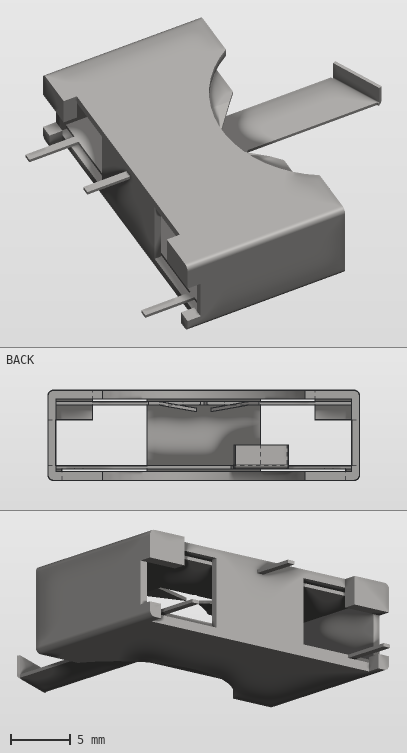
import cadquery as cq
import math

WIDTH = 26.28
HEIGHT = 7.63
DEPTH = 15.0
EDGE_RADIUS = 0.5
SIDE_WALL = 0.68
PLATE_WALL = 0.77
FRONT_WALL = 0.6
FOOT_DEPTH = 1.25
UPPER_FOOT_WIDTH = 3.78
UPPER_FOOT_HEIGHT = 2.5
LOWER_FOOT_WIDTH = 1.18
FRONT_PANEL_WIDTH = 9.58
CELL_RADIUS = 9.95
BITE_FRONT_Y = 10.2

SHEET = 0.3
SHEET_GAP = 0.2
PIN_WIDTH = 0.7
PIN_LENGTH = 2.85
CONTACT_REAR_Y = 13.63

OUTER_PIN_X = 10.52
TONGUE_LEFT_X = -7.12
TONGUE_RIGHT_X = -2.65
TONGUE_RIGHT_END_Y = 26.72
TONGUE_CHAMFER = 0.38
LIP_ANGLE = 24.8
LIP_HEIGHT = 2.05
BEND_RADIUS = 0.1

TAB_WIDTH = 3.45
NOTCH_HALF_WIDTH = 4.65
NOTCH_DEPTH = 4.02
WING_BEND_X = 3.72
WING_ANGLE = 10.0
WING_FRONT_Y = 10.15
WING_RELIEF = 0.3

INNER_WIDTH = WIDTH - 2 * SIDE_WALL
SHEET_FRONT_Y = FOOT_DEPTH + FRONT_WALL
SHEET_DEPTH = CONTACT_REAR_Y - SHEET_FRONT_Y
LOWER_Z = PLATE_WALL + SHEET_GAP
UPPER_Z = HEIGHT - PLATE_WALL - SHEET_GAP - SHEET
LOWER_FOOT_HEIGHT = LOWER_Z + SHEET
LIP_SLOPE = math.tan(math.radians(LIP_ANGLE))
TONGUE_LEFT_END_Y = TONGUE_RIGHT_END_Y - (TONGUE_RIGHT_X - TONGUE_LEFT_X) * LIP_SLOPE


def block(width, depth, height, x, y, z):
    """Box centred on x, reaching back from y and up from z."""
    return cq.Workplane("XY").box(width, depth, height, centered=(True, False, False)).translate((x, y, z))


def pin(x, rear_y, z):
    """Flat solder pin running forward from rear_y."""
    return block(PIN_WIDTH, rear_y + PIN_LENGTH, SHEET, x, -PIN_LENGTH, z)


def make_housing():
    outer = block(WIDTH, DEPTH, HEIGHT, 0, 0, 0).edges("|Y").fillet(EDGE_RADIUS)

    upper_gap = WIDTH - 2 * UPPER_FOOT_WIDTH
    lower_gap = WIDTH - 2 * LOWER_FOOT_WIDTH
    middle_height = HEIGHT - UPPER_FOOT_HEIGHT - LOWER_FOOT_HEIGHT
    body = outer.cut(block(upper_gap, FOOT_DEPTH, HEIGHT, 0, 0, 0))
    body = body.cut(block(lower_gap, FOOT_DEPTH, LOWER_FOOT_HEIGHT, 0, 0, 0))
    body = body.cut(block(WIDTH, FOOT_DEPTH, middle_height, 0, 0, LOWER_FOOT_HEIGHT))

    inner_height = HEIGHT - 2 * PLATE_WALL
    cavity = block(INNER_WIDTH, DEPTH, inner_height, 0, FOOT_DEPTH, PLATE_WALL)
    panel = block(FRONT_PANEL_WIDTH, FRONT_WALL, inner_height, 0, FOOT_DEPTH, PLATE_WALL)
    body = body.cut(cavity.cut(panel))

    body = body.cut(block(TAB_WIDTH, FRONT_WALL, SHEET, 0, FOOT_DEPTH, UPPER_Z))

    bite_y = BITE_FRONT_Y + CELL_RADIUS
    return body.cut(cq.Workplane("XY").center(0, bite_y).circle(CELL_RADIUS).extrude(HEIGHT))


def make_lip():
    """Tongue end bent upwards, with its length running obliquely across the tongue."""
    angle = math.radians(LIP_ANGLE)
    length = (TONGUE_RIGHT_X - TONGUE_LEFT_X) / math.cos(angle)
    outer_radius = BEND_RADIUS + SHEET
    bend_45 = math.sqrt(0.5)

    rear = cq.Vector(-math.sin(angle), math.cos(angle), 0)
    along = cq.Vector(math.cos(angle), math.sin(angle), 0)
    start = cq.Vector(TONGUE_LEFT_X, TONGUE_LEFT_END_Y, LOWER_Z)
    section_plane = cq.Plane(origin=start, xDir=rear, normal=along)
    section = (
        cq.Workplane(section_plane)
        .moveTo(-outer_radius, 0)
        .threePointArc((-outer_radius * (1 - bend_45), outer_radius * (1 - bend_45)), (0, outer_radius))
        .lineTo(0, LIP_HEIGHT)
        .lineTo(-SHEET, LIP_HEIGHT)
        .lineTo(-SHEET, outer_radius)
        .threePointArc((-outer_radius + BEND_RADIUS * bend_45, outer_radius - BEND_RADIUS * bend_45),
                       (-outer_radius, SHEET))
        .close()
    )
    return section.extrude(length)


def make_lower_contact():
    contact = block(INNER_WIDTH, SHEET_DEPTH, SHEET, 0, SHEET_FRONT_Y, LOWER_Z)
    for x in (-OUTER_PIN_X, OUTER_PIN_X):
        contact = contact.union(pin(x, SHEET_FRONT_Y, LOWER_Z))

    bend_setback = (BEND_RADIUS + SHEET) / math.cos(math.radians(LIP_ANGLE))
    left_end_y = TONGUE_LEFT_END_Y - bend_setback
    right_end_y = TONGUE_RIGHT_END_Y - bend_setback
    tongue = (
        cq.Workplane("XY", origin=(0, 0, LOWER_Z))
        .moveTo(TONGUE_LEFT_X, SHEET_FRONT_Y)
        .lineTo(TONGUE_RIGHT_X + TONGUE_CHAMFER, SHEET_FRONT_Y)
        .lineTo(TONGUE_RIGHT_X + TONGUE_CHAMFER, CONTACT_REAR_Y)
        .lineTo(TONGUE_RIGHT_X, CONTACT_REAR_Y + TONGUE_CHAMFER)
        .lineTo(TONGUE_RIGHT_X, right_end_y)
        .lineTo(TONGUE_LEFT_X, left_end_y)
        .close()
        .extrude(SHEET)
    )
    return contact.union(tongue).union(make_lip())


def make_upper_contact():
    flat = block(INNER_WIDTH, SHEET_DEPTH, SHEET, 0, SHEET_FRONT_Y, UPPER_Z)
    opening_y = WING_FRONT_Y - WING_RELIEF
    flat = flat.cut(block(2 * WING_BEND_X, SHEET_DEPTH, SHEET, 0, opening_y, UPPER_Z))
    tab = block(TAB_WIDTH, FRONT_WALL, SHEET, 0, FOOT_DEPTH, UPPER_Z)
    contact = flat.union(tab).union(pin(0, FOOT_DEPTH, UPPER_Z))

    drop = WING_BEND_X * math.tan(math.radians(WING_ANGLE))
    wing_depth = CONTACT_REAR_Y - WING_FRONT_Y
    for side in (-1, 1):
        wing = (
            cq.Workplane("XZ", origin=(0, CONTACT_REAR_Y, 0))
            .moveTo(side * WING_BEND_X, UPPER_Z)
            .lineTo(side * WING_BEND_X, UPPER_Z + SHEET)
            .lineTo(0, UPPER_Z + SHEET - drop)
            .lineTo(0, UPPER_Z - drop)
            .close()
            .extrude(wing_depth)
        )
        contact = contact.union(wing)

    notch = (
        cq.Workplane("XY")
        .moveTo(-NOTCH_HALF_WIDTH, CONTACT_REAR_Y)
        .lineTo(0, CONTACT_REAR_Y - NOTCH_DEPTH)
        .lineTo(NOTCH_HALF_WIDTH, CONTACT_REAR_Y)
        .close()
        .extrude(HEIGHT)
    )
    return contact.cut(notch)


housing = make_housing()
lower_contact = make_lower_contact()
upper_contact = make_upper_contact()

result = cq.Compound.makeCompound([
    housing.solids().val(),
    lower_contact.solids().val(),
    upper_contact.solids().val(),
])